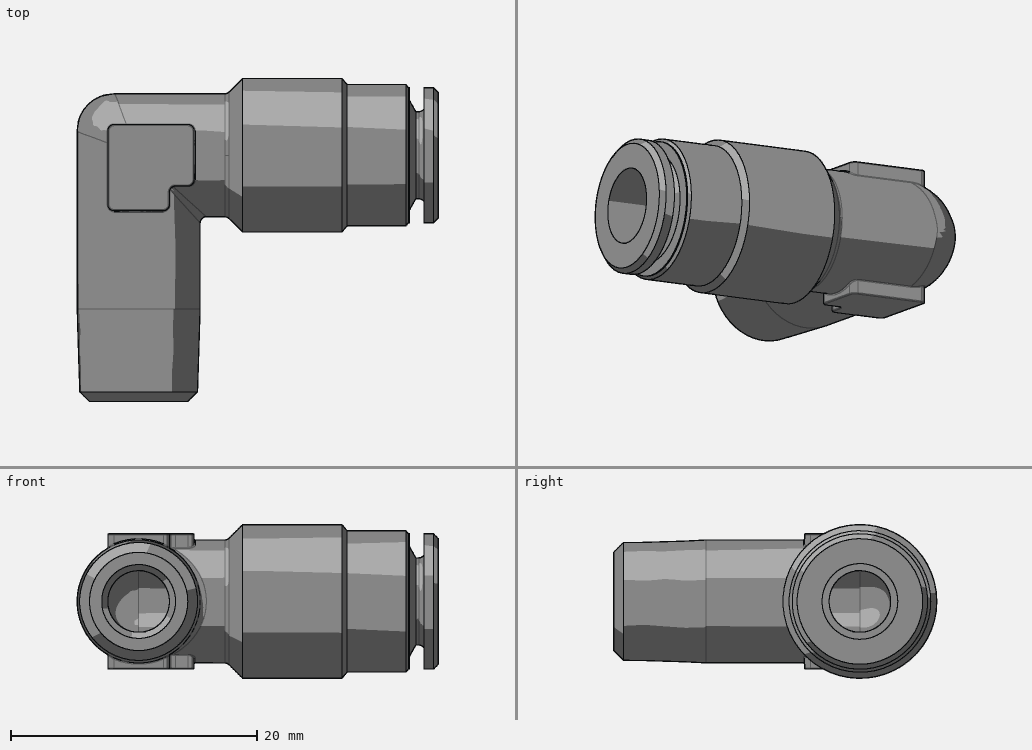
import cadquery as cq
import math


PIPE_R = 5.0
BORE_R = 2.5
OUTER_BEND_R = 3.0
CROTCH_R = 0.5

TAPER_START = 12.5
LEG_END = 20.0
LEG_CHAMFER = 0.8
TAPER_END = LEG_END - LEG_CHAMFER
TAPER_RATE = 1 / 32
TAPER_END_R = PIPE_R - TAPER_RATE * (TAPER_END - TAPER_START)
MOUTH_CHAMFER = 0.5
MOUTH_ANGLE = 45

SHOULDER_START = 7.2
SHOULDER_BLEND_R = 0.5
BODY_R = 6.25
BODY_START = SHOULDER_START + BODY_R - PIPE_R
BODY_END = 16.5
SLEEVE_R = 5.75
SLEEVE_START = 16.93
SLEEVE_END = 22.0
SLEEVE_RIM_R = 5.5
SLEEVE_RIM_START = 21.9
SLEEVE_CHAMFER_LENGTH = 0.2
COLLET_CONE_R = 4.45
COLLET_CONE_END = 22.5
THROAT_R = 3.55
FLANGE_R = 5.5
FLANGE_START = 23.15
FLANGE_END = 24.34
FLANGE_CHAMFER = 0.4
FLANGE_BLEND_R = 0.5
FLANGE_BLEND_LENGTH = 0.4
FLANGE_BLEND_RISE = FLANGE_BLEND_R - math.sqrt(FLANGE_BLEND_R**2 - FLANGE_BLEND_LENGTH**2)
TUBE_DIAMETER = 6.15

PAD_BACK = 2.5
PAD_FRONT = 4.5
PAD_STEP = 2.5
PAD_TOP = 5.5
PAD_CORNER_R = 0.5
PAD_EDGE_R = 0.1
PAD_JOINT_LOW = 4.0
PAD_JOINT_HIGH = 5.1

RECESS_HALF_WIDTH = 2.3
RECESS_FLOOR = 4.5


def half_space(side):
    """Block on one side of the mitre plane, towards (side, side)."""
    reach = 2 * TAPER_START
    corners = [(-reach, reach), (reach, -reach), (side * reach, side * reach)]
    return cq.Workplane("XY").polyline(corners).close().extrude(reach, both=True)


def pipe(direction, length):
    """Pipe from just behind the elbow centre out along a direction.

    Its seam runs along the top, where a pad covers it at the bend.
    """
    overlap = 2 * PIPE_R
    plane = cq.Plane(origin=(0, 0, 0), xDir=(0, 0, 1), normal=direction)
    return cq.Workplane(plane).workplane(offset=-overlap).circle(PIPE_R).extrude(overlap + length)


def elbow():
    """Two equal pipes meeting in a mitre, rounded outside and in the crotch."""
    leg = pipe((0, -1, 0), TAPER_START).intersect(half_space(-1))
    neck = pipe((1, 0, 0), SHOULDER_START).intersect(half_space(1))
    bend = leg.union(neck)

    recess_width = 2 * RECESS_HALF_WIDTH
    floor = cq.Workplane("XY").workplane(offset=RECESS_FLOOR)
    recess = floor.rect(recess_width, recess_width).extrude(PIPE_R)
    bend = bend.cut(recess).cut(recess.mirror("XY"))

    outer_corner = (-PIPE_R, PIPE_R, PIPE_R)
    crotch_corner = (PIPE_R, -PIPE_R, PIPE_R)
    for corner, radius in ((outer_corner, OUTER_BEND_R), (crotch_corner, CROTCH_R)):
        zone = cq.selectors.BoxSelector((0, 0, -PIPE_R), corner, boundingbox=False)
        bend = bend.edges(zone).edges("%ELLIPSE").fillet(radius)
    return bend


def pads():
    """L-shaped prism through the elbow that leaves a pad above and below."""
    outline = [
        (-PAD_BACK, PAD_BACK),
        (PAD_FRONT, PAD_BACK),
        (PAD_FRONT, -PAD_STEP),
        (PAD_STEP, -PAD_STEP),
        (PAD_STEP, -PAD_FRONT),
        (-PAD_BACK, -PAD_FRONT),
    ]
    prism = cq.Workplane("XY").polyline(outline).close().extrude(PAD_TOP, both=True)
    return prism.edges("|Z").fillet(PAD_CORNER_R).faces("|Z").edges().fillet(PAD_EDGE_R)


def blend_pads(body):
    """Round the joint between the pad walls and the pipes."""
    margin = PAD_EDGE_R
    near = -PAD_FRONT - margin
    far = PAD_FRONT + margin
    for low, high in ((PAD_JOINT_LOW, PAD_JOINT_HIGH), (-PAD_JOINT_HIGH, -PAD_JOINT_LOW)):
        zone = cq.selectors.BoxSelector((near, near, low), (far, far, high), boundingbox=True)
        body = body.edges(zone).fillet(PAD_EDGE_R)
    return body


def threaded_end():
    """Tapered end of the leg, outside only, with a chamfered tip."""
    profile = [
        (0, -TAPER_START),
        (PIPE_R, -TAPER_START),
        (TAPER_END_R, -TAPER_END),
        (TAPER_END_R - LEG_CHAMFER, -LEG_END),
        (0, -LEG_END),
    ]
    return cq.Workplane("XY").polyline(profile).close().revolve(360, (0, 0), (0, 1))


def push_in_end():
    """Shoulder, body, sleeve and collet flange as one turned shape."""
    profile = (
        cq.Workplane("XY")
        .moveTo(PIPE_R, 0)
        .lineTo(PIPE_R, PIPE_R)
        .lineTo(SHOULDER_START, PIPE_R)
        .lineTo(BODY_START, BODY_R)
        .lineTo(BODY_END, BODY_R)
        .lineTo(SLEEVE_START, SLEEVE_R)
        .lineTo(SLEEVE_RIM_START - SLEEVE_CHAMFER_LENGTH, SLEEVE_R)
        .lineTo(SLEEVE_RIM_START, SLEEVE_RIM_R)
        .lineTo(SLEEVE_END, SLEEVE_RIM_R)
        .lineTo(SLEEVE_END, COLLET_CONE_R)
        .lineTo(COLLET_CONE_END, THROAT_R)
        .lineTo(FLANGE_START - FLANGE_BLEND_LENGTH, THROAT_R)
        .radiusArc((FLANGE_START, THROAT_R + FLANGE_BLEND_RISE), -FLANGE_BLEND_R)
        .lineTo(FLANGE_START, FLANGE_R)
        .lineTo(FLANGE_END - FLANGE_CHAMFER, FLANGE_R)
        .lineTo(FLANGE_END, FLANGE_R - FLANGE_CHAMFER)
        .lineTo(FLANGE_END, 0)
        .close()
    )
    return profile.revolve(360, (0, 0), (1, 0))


def shoulder_blend(body):
    """Round the corner between the neck and the conical shoulder."""
    margin = SHOULDER_BLEND_R / 2
    zone = cq.selectors.BoxSelector(
        (SHOULDER_START - margin, -BODY_R, -BODY_R),
        (SHOULDER_START + margin, BODY_R, BODY_R),
        boundingbox=True,
    )
    return body.edges(zone).fillet(SHOULDER_BLEND_R)


def passage():
    """Bore of both legs with a ball at the bend, and the socket for the tube."""
    leg_bore = cq.Workplane("XZ").circle(BORE_R).extrude(LEG_END)
    mouth = (
        cq.Workplane("XZ", origin=(0, -LEG_END, 0))
        .circle(BORE_R + MOUTH_CHAMFER)
        .extrude(-MOUTH_CHAMFER, taper=MOUTH_ANGLE)
    )
    neck_bore = cq.Workplane("YZ").circle(BORE_R).extrude(SHOULDER_START)
    ball = cq.Workplane("XY").sphere(BORE_R)
    tube_length = FLANGE_END - SHOULDER_START
    socket = cq.Workplane("YZ", origin=(SHOULDER_START, 0, 0)).circle(TUBE_DIAMETER / 2).extrude(tube_length)
    return leg_bore.union(mouth).union(neck_bore).union(ball).union(socket)


outside = blend_pads(elbow().union(pads()))
outside = outside.union(threaded_end()).union(push_in_end())
result = shoulder_blend(outside).cut(passage())